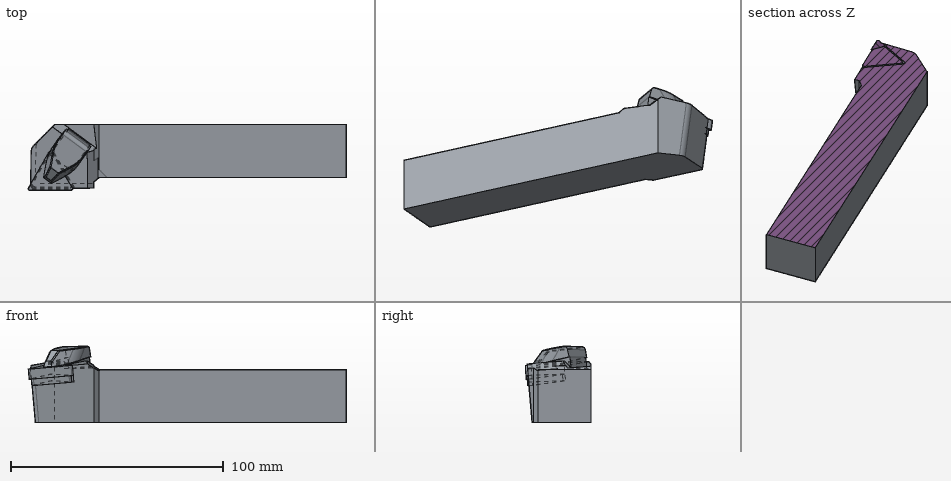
import cadquery as cq
import math


total_length = 149.5
shank_size = 25.0
back_y = 31.0
shank_front_y = back_y - shank_size
tilt = 5.0
nose_height = 25.1
reach = 59.8

insert_side = 22.0
insert_nose_radius = 0.7
insert_thickness = 4.8

shim_inset = 0.5
shim_thickness = 3.1
shim_nose_radius = 1.0

head_left_x = 1.0
head_front_y = 0.9
left_shoulder = (1.5, 19.9)
front_corner_radius = 1.6
shoulder_radius = 4.5
head_end_x = 33.3
waist_x = 30.8
waist_y = 3.9

step_drop = 3.9
side_ramp_x = 28.0
side_ramp_run = 4.6
shank_ramp_slope = 0.65

clamp_tip = (9.1, 4.6)
clamp_angle = 53.5
clamp_height = 6.9
clamp_lean = 0.9
clamp_point = (-3.0, 0.9)
clamp_bend = (7.5, 6.0)
clamp_shoulder = (10.8, 7.0)
clamp_crown = (15.0, 7.3)
clamp_heel = (29.9, 6.9)
clamp_nose_start = (1.2, 2.5)
clamp_nose_end = (6.7, clamp_height)
clamp_nose_middle = (
    (clamp_nose_start[0] + clamp_nose_end[0]) / 2,
    0,
    (clamp_nose_start[1] + clamp_nose_end[1]) / 2,
)
clamp_back = 25.3
clamp_top_back = 24.5
clamp_back_radius = 2.1
clamp_edge_chamfer = 0.5
clamp_gap_start = 4.5
clamp_heel_gap = 1.5
clamp_foot_start = 10.5
clamp_foot_width = 12.5

back_ramp_u = 21.8
back_ramp_run = 3.7

slope = math.tan(math.radians(tilt))
seat = cq.Location(
    cq.Plane(origin=(0, 0, nose_height), xDir=(1, 0, slope), normal=(-slope, -slope, 1))
)
clamp_axis = cq.Location(cq.Vector(*clamp_tip, 0), cq.Vector(0, 0, 1), clamp_angle)


def on_seat(body):
    return cq.Workplane(body.val().moved(seat))


def on_clamp_axis(body):
    return cq.Workplane(body.val().moved(seat * clamp_axis))


def triangle_prism(side, radius, start_x, front_y, top, thickness):
    """Equilateral prism with rounded corners, one side along local X."""
    points = [
        (start_x, front_y),
        (start_x + side, front_y),
        (start_x + side / 2, front_y + side * math.sin(math.radians(60))),
    ]
    prism = cq.Workplane("XY").workplane(offset=top).polyline(points).close().extrude(-thickness)
    return on_seat(prism.edges("|Z").fillet(radius))


insert_start_x = -insert_nose_radius * (math.sqrt(3) - 1)


def make_insert():
    return triangle_prism(insert_side, insert_nose_radius, insert_start_x, 0, 0, insert_thickness)


def make_shim():
    shim_start_x = insert_start_x + shim_inset * math.sqrt(3)
    shim_side = insert_side - 2 * shim_inset * math.sqrt(3)
    return triangle_prism(
        shim_side, shim_nose_radius, shim_start_x, shim_inset, -insert_thickness, shim_thickness
    )


def make_seat_pocket():
    """Insert outline taken down through the shim, leaving a narrow gap around the shim."""
    depth = insert_thickness + shim_thickness
    return triangle_prism(insert_side, insert_nose_radius, insert_start_x, 0, 0, depth)


def make_head():
    chamfer_run = reach - left_shoulder[1]
    outline = [
        (head_left_x, head_front_y),
        (reach, head_front_y),
        (reach, reach),
        (left_shoulder[0] + chamfer_run, reach),
        left_shoulder,
    ]
    leaning = cq.Workplane("XY").polyline(outline).close().extrude(-reach)
    middle_depth = -reach / 2
    front_corner = cq.NearestToPointSelector((head_left_x, head_front_y, middle_depth))
    shoulder = cq.NearestToPointSelector((*left_shoulder, middle_depth))
    leaning = leaning.edges(front_corner).fillet(front_corner_radius)
    leaning = leaning.edges(shoulder).fillet(shoulder_radius)
    footprint = [
        (0, 0),
        (waist_x, 0),
        (waist_x, waist_y),
        (head_end_x, shank_front_y),
        (head_end_x, back_y),
        (0, back_y),
    ]
    upright = cq.Workplane("XY").polyline(footprint).close().extrude(reach)
    return upright.intersect(on_seat(leaning))


def make_shank():
    length = total_length - waist_x
    return cq.Workplane("XY").box(length, shank_size, shank_size, centered=False).translate(
        (waist_x, shank_front_y, 0)
    )


def step_cutter(start, run):
    """Removes the seat level past a ramp that falls to the lower level."""
    profile = [
        (start, 0),
        (start + run, -step_drop),
        (2 * reach, -step_drop),
        (2 * reach, reach),
        (start, reach),
    ]
    return cq.Workplane("XZ").polyline(profile).close().extrude(reach, both=True)


def shank_ramp_cutter():
    """Slopes the end of the head down to the top of the shank."""
    ramp_top = shank_size + shank_ramp_slope * (head_end_x - waist_x)
    profile = [(waist_x, ramp_top), (head_end_x, shank_size), (head_end_x, reach), (waist_x, reach)]
    return cq.Workplane("XZ").polyline(profile).close().extrude(-reach)


def make_clamp_sweep():
    """Outline with straight front flanks and rounded shoulders, swept up while leaning backward."""
    outline = (
        cq.Workplane("XY")
        .moveTo(*clamp_point)
        .lineTo(*clamp_bend)
        .threePointArc(clamp_shoulder, clamp_crown)
        .lineTo(*clamp_heel)
        .lineTo(clamp_heel[0], -clamp_heel[1])
        .lineTo(clamp_crown[0], -clamp_crown[1])
        .threePointArc((clamp_shoulder[0], -clamp_shoulder[1]), (clamp_bend[0], -clamp_bend[1]))
        .lineTo(clamp_point[0], -clamp_point[1])
        .close()
    )
    sweep = cq.Vector(clamp_lean, 0, 1) * clamp_height
    return cq.Workplane(cq.Solid.extrudeLinear(outline.wire().val(), [], sweep))


def make_clamp_bar():
    """Side silhouette of the clamp with the rising gap under its heel, as a wide bar."""
    profile = [
        (0, 0),
        clamp_nose_start,
        clamp_nose_end,
        (clamp_top_back, clamp_height),
        (clamp_back, clamp_heel_gap),
        (clamp_gap_start, 0),
    ]
    return cq.Workplane("XZ").polyline(profile).close().extrude(reach, both=True)


def make_clamp_block(start_u, bottom):
    """Block from start_u to the clamp back, reaching up to the heel."""
    block = cq.Workplane("XY").box(
        clamp_back - start_u, clamp_foot_width, clamp_heel_gap - bottom, centered=(False, True, False)
    )
    return block.translate((start_u, 0, bottom))


def make_clamp():
    body = make_clamp_sweep().intersect(make_clamp_bar())
    top_edges = body.faces(">Z").edges("not |Y")
    nose_edges = body.faces(cq.NearestToPointSelector(clamp_nose_middle)).edges("not |Y")
    body = body.newObject(top_edges.vals() + nose_edges.vals()).chamfer(clamp_edge_chamfer)
    top_back_edge = cq.NearestToPointSelector((clamp_top_back, 0, clamp_height))
    body = body.edges(top_back_edge).fillet(clamp_back_radius)

    foot = make_clamp_block(clamp_foot_start, 0)
    tail = make_clamp_block(back_ramp_u, -step_drop)
    return on_clamp_axis(body.union(foot).union(tail))


def make_holder():
    body = make_head().union(make_shank())
    body = body.cut(on_clamp_axis(step_cutter(back_ramp_u, back_ramp_run)))
    body = body.cut(on_seat(step_cutter(side_ramp_x, side_ramp_run)))
    body = body.cut(shank_ramp_cutter())
    body = body.cut(make_seat_pocket())
    return body.union(make_shim()).union(make_clamp())


insert = make_insert()
holder = make_holder()

result = cq.Compound.makeCompound([holder.solids().val(), insert.solids().val()])